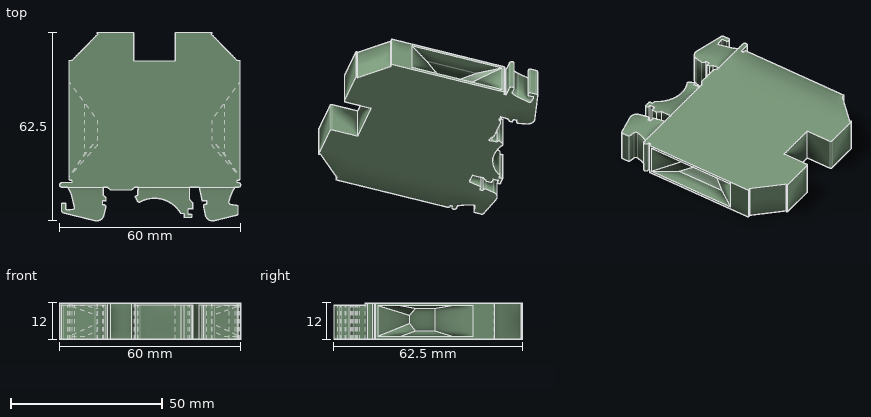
import cadquery as cq
import math


thickness = 12.0
body_half_width = 28.35
body_top = 51.33
flange_left = -31.43
flange_right = 28.57
flange_thickness = 1.6
flange_end_radius = flange_thickness / 2
side_groove_depth = 1.0
side_groove_height = 0.7
side_corner_chamfer = 0.35
shoulder_height = 42.05
shoulder_ledge = 0.95
shoulder_dip = 0.1
lip_half_width = 19.05
lip_height = 0.6
lip_overhang = 0.25
top_slot_half_width = 6.8
top_slot_depth = 9.5
top_slot_corner_radius = 0.5

tab_left = -15.6
tab_right = -6.5
tab_depth = 0.9
tab_slope_width = 1.05

foot_thickness = 11.3
foot_heel_radius = 2.5
foot_heel_x = 17.3
foot_heel_y = -11.69
arch_radius = 10.0
arch_center_y = -13.66

funnel_y_high = 35.0
funnel_y_low = 3.4
funnel_z_low = 0.95
funnel_z_high = 11.15
funnel_depth = 9.4
funnel_straight_depth = 5.15
floor_y_high = 22.3
floor_y_low = 13.9
floor_corner_y = 15.85
floor_z_low = 2.75
floor_z_high = 10.2
floor_end_z_low = 5.25
floor_end_z_high = 7.9


def prism(corners, height):
    """Extrude an outline of (x, y, radius[, via]) corners upward from Z = 0.

    A radius above zero rounds that corner. A via point turns the edge
    leaving that corner into an arc.
    """
    outline = cq.Workplane("XY").moveTo(*corners[0][:2])
    for corner, following in zip(corners, corners[1:] + corners[:1]):
        end = following[:2]
        if len(corner) > 3:
            outline = outline.threePointArc(corner[3], end)
        else:
            outline = outline.lineTo(*end)
    solid = outline.close().extrude(height)
    for corner in corners:
        x, y, radius = corner[:3]
        if radius > 0:
            nearest = cq.selectors.NearestToPointSelector((x, y, height / 2))
            solid = solid.edges("|Z").edges(nearest).fillet(radius)
    return solid


def make_housing():
    """Full-thickness body with its top slot, base flange and stop tab."""
    groove_x = body_half_width - side_groove_depth
    groove_top = flange_thickness + side_groove_height
    ledge_x = body_half_width - shoulder_ledge
    slot_floor = body_top - top_slot_depth

    upper_right = [
        (groove_x, flange_thickness, 0),
        (groove_x, groove_top, 0),
        (body_half_width - side_corner_chamfer, groove_top, 0),
        (body_half_width, groove_top + side_corner_chamfer, 0),
        (body_half_width, shoulder_height, 0),
        (ledge_x, shoulder_height, 0),
        (ledge_x, shoulder_height - shoulder_dip, 0),
        (lip_half_width - lip_overhang, body_top - lip_height, 0),
        (lip_half_width, body_top - lip_height / 2, 0),
        (lip_half_width, body_top, 0),
        (top_slot_half_width, body_top, top_slot_corner_radius),
        (top_slot_half_width, slot_floor, 0),
    ]
    upper_left = [(-x, y, radius) for x, y, radius in reversed(upper_right)]
    flange_left_end = [
        (flange_left + flange_end_radius, flange_thickness, 0, (flange_left, flange_end_radius)),
        (flange_left + flange_end_radius, 0, 0),
    ]
    tab = [
        (tab_left, 0, 0),
        (tab_left + tab_slope_width, -tab_depth, 0),
        (tab_right - tab_slope_width, -tab_depth, 0),
        (tab_right, 0, 0),
    ]
    flange_right_end = [
        (flange_right - flange_end_radius, 0, 0, (flange_right, flange_end_radius)),
        (flange_right - flange_end_radius, flange_thickness, 0),
    ]
    return prism(upper_right + upper_left + flange_left_end + tab + flange_right_end, thickness)


def make_hook_foot():
    """Left foot, with an upturned hook on the outside and a latch notch inside."""
    hook_left = -30.83
    hook_right = -29.33
    hook_top = -5.2
    hook_radius = 0.4
    hook_slot_floor = -7.5
    hook_base = (hook_left, -8.35)
    hook_base_radius = 0.9
    neck_top_x = -28.8
    neck_curve_middle = (-28.1, -1.15)
    neck_curve_end = (-27.6, -2.4)
    neck_bottom = (-26.4, -7.2)
    inner_x = -16.94
    inner_bottom = -2.6
    tooth_x = -16.04
    tooth_top = -3.4
    tooth_bottom = -4.45
    notch_x = -17.2
    notch_bottom = -5.7
    shoulder_x = -15.85
    shoulder_radius = 0.8
    return prism(
        [
            (neck_top_x, 0, 0, neck_curve_middle),
            (*neck_curve_end, 0),
            (*neck_bottom, hook_radius),
            (hook_right, hook_slot_floor, hook_radius),
            (hook_right, hook_top, hook_radius),
            (hook_left, hook_top, hook_radius),
            (*hook_base, hook_base_radius),
            (-foot_heel_x, foot_heel_y, foot_heel_radius),
            (shoulder_x, notch_bottom, shoulder_radius),
            (notch_x, notch_bottom, 0),
            (notch_x, tooth_bottom, 0),
            (tooth_x, tooth_bottom, 0),
            (tooth_x, tooth_top, 0),
            (inner_x, inner_bottom, 0),
            (inner_x, 0, 0),
        ],
        foot_thickness,
    )


def arch_point(x):
    """Point at the given X on the upper half of the arch circle."""
    return (x, arch_center_y + math.sqrt(arch_radius**2 - x**2))


def make_arch_foot():
    """Middle foot, hollowed by a round arch and ending in a small clip."""
    left_x = -5.62
    left_bottom = -2.6
    left_step_width = 0.2
    left_step_depth = 0.9
    nose = (-6.5, -2.95)
    nose_radius = 0.25
    right_x = 11.6
    right_bottom = -3.95
    arch_left = arch_point(-5.35)
    arch_right = arch_point(8.7)
    arch_crown = arch_point(0)
    arch_rim_radius = 0.65
    clip_left = 9.8
    clip_right = 12.45
    clip_bottom = -10.0
    clip_top = -8.9
    clip_radius = 0.4
    notch_x = 11.13
    tooth_x = 12.72
    tooth_top = -5.2
    tooth_bottom = -7.1
    return prism(
        [
            (left_x + left_step_width, 0, 0),
            (left_x + left_step_width, -left_step_depth, 0),
            (left_x, -left_step_depth, 0),
            (left_x, left_bottom, 0),
            (*nose, nose_radius),
            (*arch_left, arch_rim_radius, arch_crown),
            (*arch_right, 0),
            (clip_left, arch_right[1], 0),
            (clip_left, clip_bottom, 0),
            (clip_right, clip_bottom, clip_radius),
            (clip_right, clip_top, clip_radius),
            (notch_x, clip_top, 0),
            (notch_x, tooth_bottom, 0),
            (tooth_x, tooth_bottom, 0),
            (tooth_x, tooth_top, 0),
            (right_x, right_bottom, 0),
            (right_x, 0, 0),
        ],
        foot_thickness,
    )


def make_toe_foot():
    """Right foot, with a curved neck and a plain toe pointing outward."""
    inner_top_x = 14.8
    inner_bottom_x = 15.75
    notch_x = 17.25
    notch_top = -4.5
    notch_bottom = -5.55
    shoulder_x = 16.05
    shoulder_radius = 0.7
    toe_x = 27.72
    toe_bottom = -9.15
    toe_bottom_radius = 0.6
    toe_top = -6.0
    toe_top_radius = 0.3
    neck_bottom = (24.5, -5.55)
    neck_middle = (25.4, -2.4)
    neck_top_x = 26.65
    neck_radius = 0.8
    return prism(
        [
            (inner_top_x, 0, 0),
            (inner_bottom_x, notch_top, 0),
            (notch_x, notch_top, 0),
            (notch_x, notch_bottom, 0),
            (shoulder_x, notch_bottom, shoulder_radius),
            (foot_heel_x, foot_heel_y, foot_heel_radius),
            (toe_x, toe_bottom, toe_bottom_radius),
            (toe_x, toe_top, toe_top_radius),
            (*neck_bottom, neck_radius, neck_middle),
            (neck_top_x, 0, 0),
        ],
        foot_thickness,
    )


def tetrahedron(a, b, c, d):
    """Solid with four flat triangular faces and the given corners."""
    faces = []
    for triangle in ((a, b, c), (a, b, d), (a, c, d), (b, c, d)):
        edges = cq.Wire.makePolygon([cq.Vector(*point) for point in triangle], close=True)
        faces.append(cq.Face.makeFromWires(edges))
    return cq.Workplane(cq.Solid.makeSolid(cq.Shell.makeShell(faces)))


def make_funnel_corner(side_z, floor_z, floor_end_z, mouth_x, floor_x):
    """Wedge that bevels the funnel between its low-Y end and one side wall."""
    bevel_slope = (floor_corner_y - floor_y_low) / (floor_z - floor_end_z)
    bevel_y = floor_y_low + bevel_slope * (side_z - floor_end_z)
    return tetrahedron(
        (mouth_x, funnel_y_low, side_z),
        (floor_x, floor_y_low, side_z),
        (floor_x, floor_y_low, floor_end_z),
        (floor_x, bevel_y, side_z),
    )


def make_funnel():
    """Void of the wire entry on the -X side, narrowing from its mouth to a flat floor."""
    mouth_x = -body_half_width
    straight_x = mouth_x + funnel_straight_depth
    floor_x = mouth_x + funnel_depth
    tapered_in_y = (
        cq.Workplane("XY")
        .workplane(offset=funnel_z_low)
        .polyline([
            (mouth_x, funnel_y_low),
            (floor_x, floor_y_low),
            (floor_x, floor_y_high),
            (mouth_x, funnel_y_high),
        ])
        .close()
        .extrude(funnel_z_high - funnel_z_low)
    )
    tapered_in_z = (
        cq.Workplane("XZ")
        .polyline([
            (mouth_x, funnel_z_low),
            (straight_x, funnel_z_low),
            (floor_x, floor_z_low),
            (floor_x, floor_z_high),
            (straight_x, funnel_z_high),
            (mouth_x, funnel_z_high),
        ])
        .close()
        .extrude(-body_top)
    )
    lower_corner = make_funnel_corner(funnel_z_low, floor_z_low, floor_end_z_low, mouth_x, floor_x)
    upper_corner = make_funnel_corner(funnel_z_high, floor_z_high, floor_end_z_high, mouth_x, floor_x)
    return tapered_in_y.intersect(tapered_in_z).cut(lower_corner).cut(upper_corner)


housing = make_housing()
feet = make_hook_foot().union(make_arch_foot()).union(make_toe_foot())
funnel = make_funnel()
result = housing.union(feet).cut(funnel).cut(funnel.mirror("YZ"))